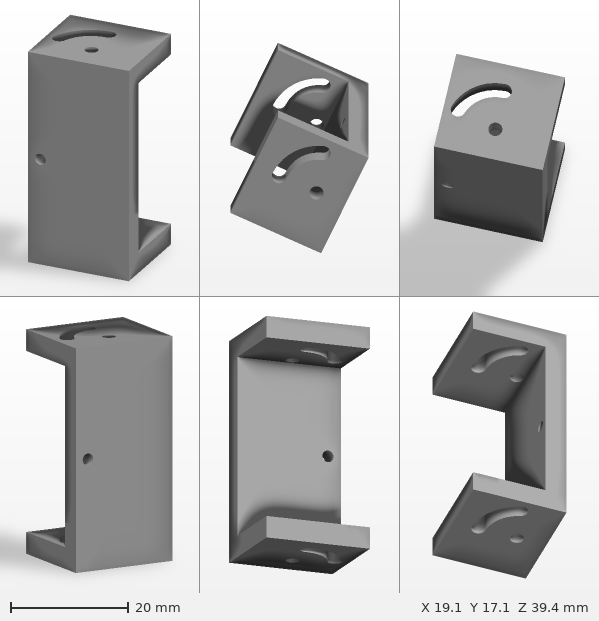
import cadquery as cq
import math

width = 19.05
depth = 17.13
height = 39.37
wall = 3.8

pivot_diameter = 2.4
pivot_back_distance = 5.35
pivot_y = pivot_back_distance - depth / 2

slot_pivot_distance = 7.05
slot_radius = 7.4
slot_center_y = pivot_y + slot_pivot_distance - slot_radius
slot_width = 2.5
slot_start_angle = 90.0
slot_end_angle = 161.0

mount_diameter = 2.05
mount_edge_distance = 2.35


def make_channel():
    """C-shaped body, open towards +Y."""
    body = cq.Workplane("XY").box(width, depth, height)
    opening = cq.Workplane("XY").box(width, depth, height - 2 * wall).translate((0, wall, 0))
    return body.cut(opening)


def make_slot_cutter():
    """Full-height arc slot with rounded ends."""

    def polar(radius, angle):
        turn = math.radians(angle)
        return (radius * math.cos(turn), slot_center_y + radius * math.sin(turn))

    inner = slot_radius - slot_width / 2
    outer = slot_radius + slot_width / 2
    middle_angle = (slot_start_angle + slot_end_angle) / 2
    cap_radius = math.hypot(slot_radius, slot_width / 2)
    cap_angle = math.degrees(math.atan2(slot_width / 2, slot_radius))

    return (
        cq.Workplane("XY", origin=(0, 0, -height / 2))
        .moveTo(*polar(outer, slot_start_angle))
        .threePointArc(polar(outer, middle_angle), polar(outer, slot_end_angle))
        .threePointArc(polar(cap_radius, slot_end_angle + cap_angle), polar(inner, slot_end_angle))
        .threePointArc(polar(inner, middle_angle), polar(inner, slot_start_angle))
        .threePointArc(polar(cap_radius, slot_start_angle - cap_angle), polar(outer, slot_start_angle))
        .close()
        .extrude(height)
    )


def make_pivot_cutter():
    """Full-height cylinder on the pivot axis."""
    return (
        cq.Workplane("XY", origin=(0, pivot_y, -height / 2))
        .circle(pivot_diameter / 2)
        .extrude(height)
    )


def make_mount_cutter():
    """Cylinder along Y through the back plate at mid-height."""
    return (
        cq.Workplane("XZ", origin=(mount_edge_distance - width / 2, depth / 2, 0))
        .circle(mount_diameter / 2)
        .extrude(depth)
    )


result = make_channel().cut(make_pivot_cutter()).cut(make_slot_cutter()).cut(make_mount_cutter())